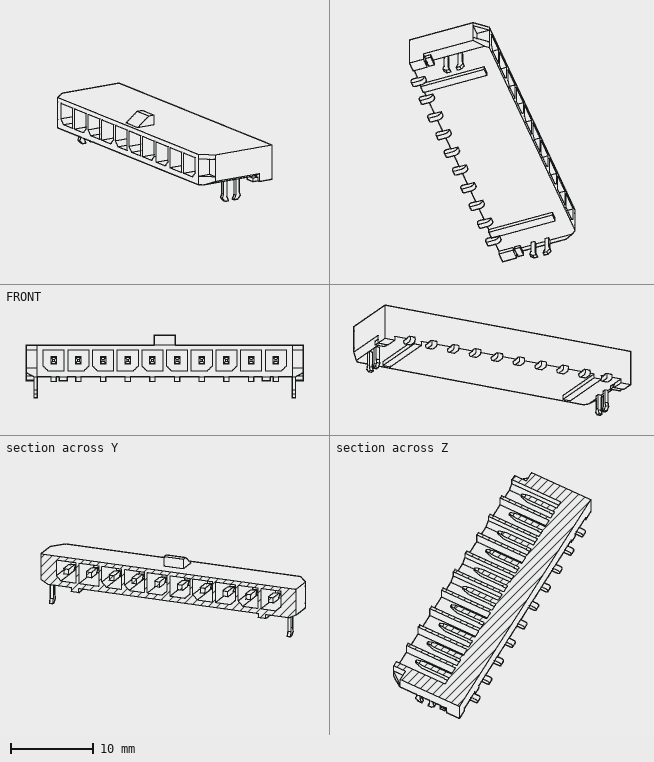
import cadquery as cq


housing_length = 33.65
housing_depth = 9.83
housing_height = 3.85
half_length = housing_length / 2
corner_x = 1.35
corner_y = 1.6
bevel_width = 0.95
bevel_height = 0.5
standoff = 0.5
foot_front = 8.0

window_bottom = 1.08
window_top = 3.25

rib_width = 1.0
rib_center_x = 12.32

latch_width = 2.55
latch_height = 1.2
latch_back = 2.93
latch_crest = 2.2
latch_toe = 0.57

pitch = 3.0
cavity_size = 2.55
cavity_bottom = 0.7
cavity_depth = 6.73
cavity_center_z = cavity_bottom + cavity_size / 2
key_cut = 0.6
cavity_keys = [-1, 1, -1, 1, -1, -1, 1, 1, 0, 1]

pin_width = 0.67
pin_height = 0.7
pin_tip_size = 0.25
pin_tip_length = 1.0
pin_front = 2.02
pin_base_height = 0.9
pin_base_length = 0.67
tail_bottom = -0.6
tail_end = 10.7
tail_round = 0.3
tail_bend_front = 8.92

clip_inner_x = 15.45
clip_thickness = 0.45
clip_center_y = 4.55
clip_bottom = -2.55
leg_top = bevel_height
leg_inner = 0.65
leg_outer = 1.15
barb_outer = 1.3
toe_inner = 0.4
toe_outer = 0.9
barb_top = -1.6
barb_point = -2.12
toe_top = -2.0
tab_outer_x = 16.75
tab_front = 7.1
tab_depth = 0.7
tab_top = 0.07
tab_bottom = -0.4


def block(x0, x1, y0, y1, z0, z1):
    """Box between two opposite corners."""
    return cq.Workplane("XY").box(x1 - x0, y1 - y0, z1 - z0, centered=False).translate((x0, y0, z0))


def both_ends(solid):
    """The given solid together with its mirror image at the other end of the row."""
    return solid.union(solid.mirror("YZ"))


def make_housing():
    body = (
        cq.Workplane("XY")
        .moveTo(-half_length, housing_depth)
        .lineTo(-half_length, corner_y)
        .lineTo(-half_length + corner_x, 0)
        .lineTo(half_length - corner_x, 0)
        .lineTo(half_length, corner_y)
        .lineTo(half_length, housing_depth)
        .close()
        .extrude(housing_height)
    )
    bevel = (
        cq.Workplane("XZ")
        .moveTo(-half_length, 0)
        .lineTo(-half_length + bevel_width, 0)
        .lineTo(-half_length, bevel_height)
        .close()
        .extrude(-foot_front)
    )
    window = block(-half_length, -half_length + corner_x, 0, corner_y, window_bottom, window_top)
    foot = block(-half_length, -half_length + corner_x, foot_front, housing_depth, -standoff, 0)
    rib_left = -rib_center_x - rib_width / 2
    rib = block(rib_left, rib_left + rib_width, corner_y, housing_depth, -standoff, 0)
    return body.cut(both_ends(bevel)).cut(both_ends(window)).union(both_ends(foot)).union(both_ends(rib))


def make_latch():
    return (
        cq.Workplane("YZ")
        .moveTo(latch_toe, housing_height)
        .lineTo(latch_crest, housing_height + latch_height)
        .lineTo(latch_back, housing_height + latch_height)
        .lineTo(latch_back, housing_height)
        .close()
        .extrude(latch_width / 2, both=True)
    )


def make_cavity(x, key):
    half = cavity_size / 2
    cavity = block(x - half, x + half, 0, cavity_depth, cavity_bottom, cavity_bottom + cavity_size)
    if key:
        lower_edge = "|Y and <Z and >X" if key > 0 else "|Y and <Z and <X"
        cavity = cavity.edges(lower_edge).chamfer(key_cut)
    return cavity


def make_pin(x):
    half_width = pin_width / 2
    half_height = pin_height / 2
    shoulder = pin_front + pin_tip_length
    shaft = block(
        x - half_width, x + half_width, shoulder, cavity_depth,
        cavity_center_z - half_height, cavity_center_z + half_height,
    )
    tip = (
        cq.Workplane("XZ", origin=(x, shoulder, cavity_center_z))
        .rect(pin_width, pin_height)
        .workplane(offset=pin_tip_length)
        .rect(pin_tip_size, pin_tip_size)
        .loft(ruled=True)
    )
    half_base = pin_base_height / 2
    base = block(
        x - half_width, x + half_width, cavity_depth - pin_base_length, cavity_depth,
        cavity_center_z - half_base, cavity_center_z + half_base,
    )
    return shaft.union(tip).union(base)


def make_tail(x):
    """Solder tail that leaves the housing underside and bends to the rear."""
    tail_top = tail_bottom + pin_height
    return (
        cq.Workplane("YZ", origin=(x, 0, 0))
        .moveTo(tail_bend_front, tail_top)
        .radiusArc((tail_bend_front + pin_height, tail_bottom), -pin_height)
        .lineTo(tail_end - tail_round, tail_bottom)
        .radiusArc((tail_end, tail_bottom + tail_round), -tail_round)
        .lineTo(tail_end, tail_top - tail_round)
        .radiusArc((tail_end - tail_round, tail_top), -tail_round)
        .close()
        .extrude(pin_width / 2, both=True)
    )


def make_clip():
    """Pair of barbed legs and the tab, at the left end of the row."""
    clip = block(-tab_outer_x, -clip_inner_x, tab_front, tab_front + tab_depth, tab_bottom, tab_top)
    outline = [
        (leg_inner, leg_top),
        (leg_outer, leg_top),
        (leg_outer, barb_top),
        (barb_outer, barb_point),
        (toe_outer, clip_bottom),
        (toe_inner, clip_bottom),
        (leg_inner, toe_top),
    ]
    for side in (-1, 1):
        points = [(clip_center_y + side * offset, z) for offset, z in outline]
        leg_face = cq.Workplane("YZ", origin=(-clip_inner_x, 0, 0)).polyline(points).close()
        leg = leg_face.extrude(-clip_thickness)
        clip = clip.union(leg)
    return clip


result = make_housing().union(make_latch()).union(both_ends(make_clip()))
first_x = -pitch * (len(cavity_keys) - 1) / 2
for index, key in enumerate(cavity_keys):
    contact_x = first_x + index * pitch
    result = result.cut(make_cavity(contact_x, key))
    result = result.union(make_pin(contact_x)).union(make_tail(contact_x))